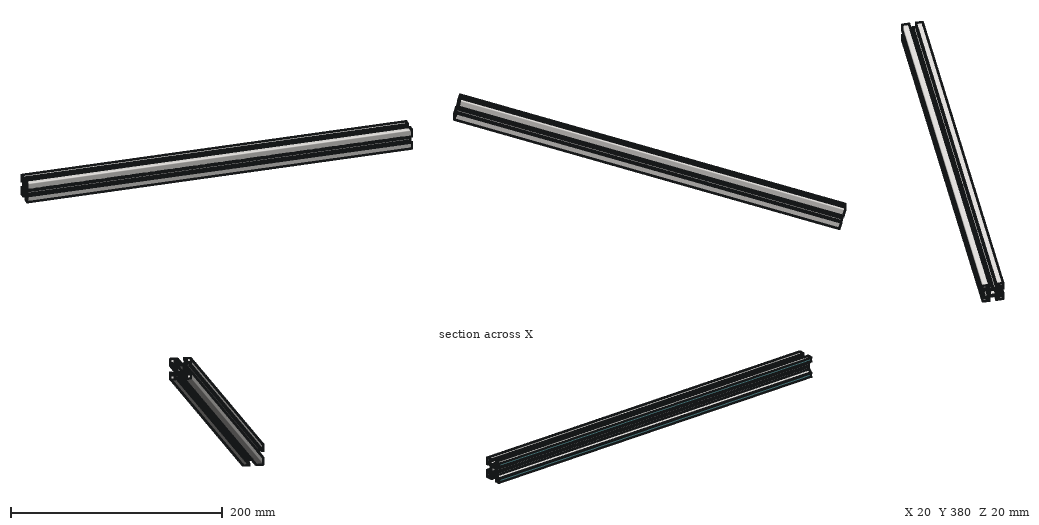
import cadquery as cq
import math

length = 380.0
side = 20.0

slot_mouth = 6.5
lip_thickness = 1.5
corner_block = 4.0
corner_radius = 1.0
core_side = 10.0
bore_side = 6.0
web_thickness = 2.3
groove_width = 1.0
groove_depth = 0.57

half = side / 2
lip_length = half - slot_mouth / 2
block_centre = half - corner_block / 2
quarter_turns = (0, 90, 180, 270)


def bar(width, height):
    """Full-length rectangular bar centred on the Y axis."""
    return cq.Workplane("XY").box(width, length, height)


def turned(solid, angle):
    """Solid turned about the bar axis."""
    return solid.rotate((0, 0, 0), (0, 1, 0), angle)


def corner():
    """Solid block at the +X +Z corner with the two lips that narrow the slots."""
    lip_centre = half - lip_length / 2
    lip_level = half - lip_thickness / 2
    block = bar(corner_block, corner_block).translate((block_centre, 0, block_centre))
    flat_lip = bar(lip_length, lip_thickness).translate((lip_centre, 0, lip_level))
    upright_lip = bar(lip_thickness, lip_length).translate((lip_level, 0, lip_centre))
    outer_edge = cq.selectors.NearestToPointSelector((half, 0, half))
    return block.union(flat_lip).union(upright_lip).edges(outer_edge).fillet(corner_radius)


def floor_groove():
    """V-groove along the middle of the upper slot floor."""
    floor = core_side / 2
    outline = [(-groove_width / 2, floor), (groove_width / 2, floor), (0, floor - groove_depth)]
    return cq.Workplane("XZ").polyline(outline).close().extrude(length / 2, both=True)


web = bar(2 * math.sqrt(2) * block_centre, web_thickness)
result = bar(core_side, core_side).union(turned(web, 45)).union(turned(web, -45))
for angle in quarter_turns:
    result = result.union(turned(corner(), angle))

for angle in quarter_turns:
    result = result.cut(turned(floor_groove(), angle))
result = result.cut(bar(bore_side, bore_side))